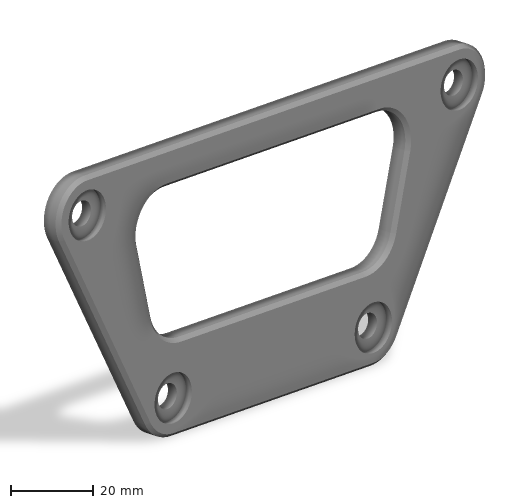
import cadquery as cq
import math

thickness = 5.0
length = 150.0
height = 75.0
corner_radius = 10.0
rim_chamfer = 1.0

hole_diameter = 6.6
counterbore_diameter = 13.0
counterbore_depth = 2.0
upper_hole_y = length / 2 - corner_radius
lower_hole_y = 35.0
hole_z = height / 2 - corner_radius

window_top_half_width = 50.0
window_bottom_half_width = 40.0
window_top_z = hole_z
window_height = 40.0
window_corner_radius = 10.0


def make_plate():
    """Rounded trapezoid whose slanted sides are tangent to the corner arcs."""
    side_angle = math.atan2(upper_hole_y - lower_hole_y, 2 * hole_z)
    normal_y = corner_radius * math.cos(side_angle)
    normal_z = -corner_radius * math.sin(side_angle)
    upper_mid = (math.pi / 2 - side_angle) / 2
    lower_mid = (-math.pi / 2 - side_angle) / 2

    def on_corner(center_y, center_z, angle):
        return (
            center_y + corner_radius * math.cos(angle),
            center_z + corner_radius * math.sin(angle),
        )

    def mirrored(point):
        return (-point[0], point[1])

    upper_arc_mid = on_corner(upper_hole_y, hole_z, upper_mid)
    lower_arc_mid = on_corner(lower_hole_y, -hole_z, lower_mid)
    side_top = (upper_hole_y + normal_y, hole_z + normal_z)
    side_bottom = (lower_hole_y + normal_y, -hole_z + normal_z)
    top_end = (upper_hole_y, height / 2)
    bottom_end = (lower_hole_y, -height / 2)

    return (
        cq.Workplane("YZ")
        .moveTo(*mirrored(top_end))
        .lineTo(*top_end)
        .threePointArc(upper_arc_mid, side_top)
        .lineTo(*side_bottom)
        .threePointArc(lower_arc_mid, bottom_end)
        .lineTo(*mirrored(bottom_end))
        .threePointArc(mirrored(lower_arc_mid), mirrored(side_bottom))
        .lineTo(*mirrored(side_top))
        .threePointArc(mirrored(upper_arc_mid), mirrored(top_end))
        .close()
        .extrude(thickness)
    )


def make_window():
    """Through cutter for the window, with rounded corners."""
    window_bottom_z = window_top_z - window_height
    return (
        cq.Workplane("YZ")
        .polyline([
            (-window_top_half_width, window_top_z),
            (window_top_half_width, window_top_z),
            (window_bottom_half_width, window_bottom_z),
            (-window_bottom_half_width, window_bottom_z),
        ])
        .close()
        .extrude(thickness)
        .edges("|X")
        .fillet(window_corner_radius)
    )


def cut_holes(plate):
    """Four through holes, counterbored from the +X face."""
    hole_centers = [
        (side * y, z)
        for side in (-1, 1)
        for y, z in ((upper_hole_y, hole_z), (lower_hole_y, -hole_z))
    ]
    return (
        plate.faces(">X")
        .workplane(origin=(thickness, 0, 0))
        .pushPoints(hole_centers)
        .cboreHole(hole_diameter, counterbore_diameter, counterbore_depth)
    )


plate_with_window = make_plate().cut(make_window())
chamfered_plate = plate_with_window.faces(">X").chamfer(rim_chamfer)
result = cut_holes(chamfered_plate)